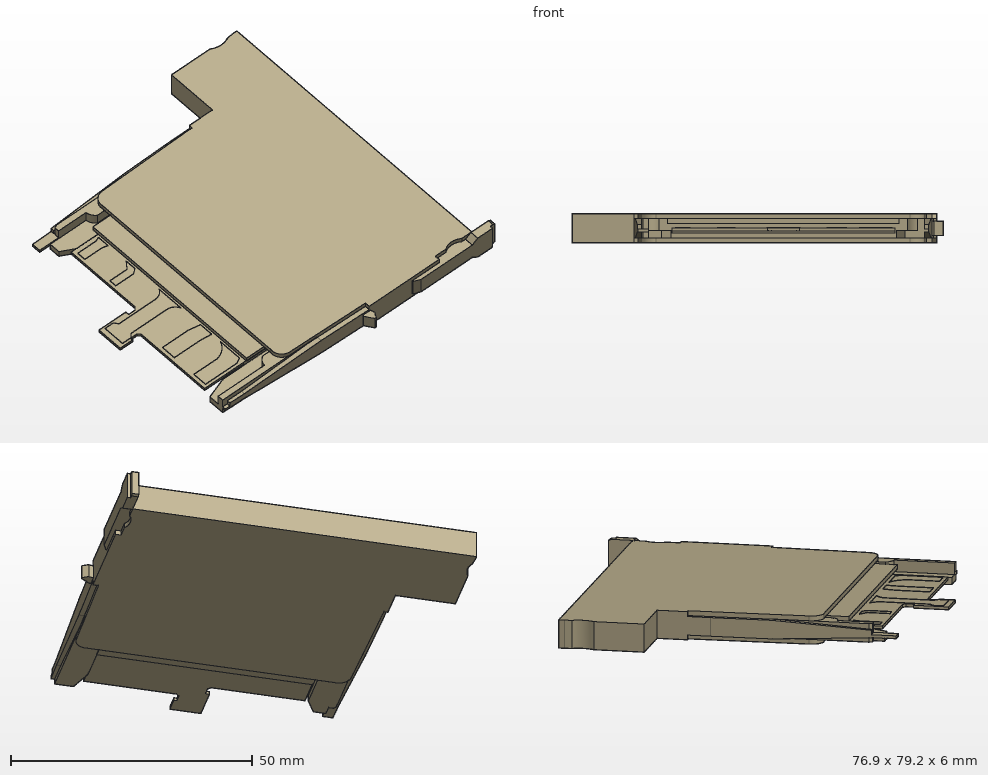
import cadquery as cq

thickness = 6.0
cover_thickness = 1.0
frame_bottom = cover_thickness
frame_top = thickness - cover_thickness
housing_rear = 74.0
cover_front = 21.45
ear_front = 55.9
ear_notch_depth = 0.7
left_side = 12.8
right_side = 74.6

strip_inner = 73.45
strip_seat_front = 63.95
thumb_recess_depth = 0.7

arm_front = 5.4
arm_lean = 0.8
lean_start = 44.6
left_ledge_rear = 49.5

left_cover_rear = 13.7
left_cover_edge = 14.3
right_cover_rear = strip_inner
right_cover_edge = 73.05
cover_corner_length = 3.0
cover_corner_depth = 2.5
cover_corner_bulge = 0.27

taper_rear = 31.5
taper_front = 10.6
taper_drop = 1.2
left_tip_rear = taper_front
right_tip_rear = 6.65
tip_bottom = frame_bottom + taper_drop
tip_top = 2.85

recess_rear = 23.75
throat_left = 18.0
throat_right = 69.5
throat_front = 19.55
recess_left = 15.8
recess_right = 71.6
recess_shoulder = 18.2
floor_top = 2.5
floor_left_edge = 20.5
floor_right_edge = 67.2
left_floor_front = 8.3
left_bevel = (2.0, 3.65)
right_bevel = (1.8, 5.2)
wall_end_bevel = (0.4, 0.7)

bar_left = 19.7
bar_right = 67.75
bar_front = 16.7
bar_bottom = 4.0

board_left = 20.65
board_right = 67.0
board_bottom = 2.45
board_top = 3.1
backing_bottom = 2.0
track_height = 0.1
board_left_front = 9.8
board_right_front = 5.8
tongue_left = 40.45
tongue_right = 47.1
tongue_left_rear = 7.45
tongue_right_rear = 3.5
neck_left = 41.3
neck_right = 46.5
neck_corner = 0.6

latch_outer = 75.6
latch_rear = 79.15
latch_step = 74.9
latch_step_rear = 77.9
latch_front = 56.4
latch_bevel_rear = 58.1
ramp_rear = 73.8
ramp_front = 72.3
latch_tip_chamfer = 0.55

hook_outer = 76.9
hook_bottom = 1.5
hook_top = 4.5


def prism(outline, bottom, top):
    """Extrude a closed XY outline between two heights."""
    return outline.close().extrude(top - bottom).translate((0, 0, bottom))


def polygon(points, bottom, top):
    return prism(cq.Workplane("XY").polyline(points), bottom, top)


def block(left, right, front, rear, bottom, top):
    size = (right - left, rear - front, top - bottom)
    return cq.Workplane("XY").box(*size, centered=False).translate((left, front, bottom))


def mirrored_pair(upper):
    """The solid together with its mirror image about the mid-thickness plane."""
    return upper.union(upper.mirror("XY", (0, 0, thickness / 2)))


def start_rear_outline():
    """Rear outline from the latch seat round the ear to its inner corner."""
    return (
        cq.Workplane("XY")
        .moveTo(right_side, strip_seat_front)
        .lineTo(strip_inner, strip_seat_front)
        .lineTo(strip_inner, 66.8)
        .threePointArc((strip_inner - thumb_recess_depth, 69.0), (strip_inner, 71.2))
        .lineTo(strip_inner, housing_rear)
        .lineTo(0, housing_rear)
        .lineTo(0, 72.8)
        .lineTo(0.15, 71.2)
        .threePointArc((ear_notch_depth, 69.0), (0, 66.6))
        .lineTo(0, ear_front)
        .lineTo(left_side, ear_front)
    )


def cover():
    corner_rear = cover_front + cover_corner_depth
    bulge_y = cover_front + cover_corner_bulge * cover_corner_depth
    bulge_x = cover_corner_bulge * cover_corner_length
    outline = (
        start_rear_outline()
        .lineTo(left_side, left_ledge_rear)
        .lineTo(left_cover_rear, left_ledge_rear)
        .lineTo(left_cover_edge, corner_rear)
        .threePointArc(
            (left_cover_edge + bulge_x, bulge_y),
            (left_cover_edge + cover_corner_length, cover_front),
        )
        .lineTo(right_cover_edge - cover_corner_length, cover_front)
        .threePointArc(
            (right_cover_edge - bulge_x, bulge_y),
            (right_cover_edge, corner_rear),
        )
        .lineTo(right_cover_rear, lean_start)
        .lineTo(right_side, lean_start)
    )
    return prism(outline, frame_top, thickness)


def arm_taper(left, right):
    """Material above the sloping top of an arm's outer strip."""
    taper_low = frame_top - taper_drop
    profile = [
        (taper_rear, frame_top),
        (taper_front, taper_low),
        (0, taper_low),
        (0, frame_top),
    ]
    wedge = cq.Workplane("YZ").polyline(profile).close().extrude(right - left)
    return wedge.translate((left, 0, 0))


def front_recess():
    outline = (
        cq.Workplane("XY")
        .moveTo(throat_left, recess_rear)
        .lineTo(throat_left, throat_front)
        .threePointArc((17.25, 18.75), (recess_left, recess_shoulder))
        .lineTo(recess_left, 0)
        .lineTo(recess_right, 0)
        .lineTo(recess_right, recess_shoulder)
        .threePointArc((70.2, 18.75), (throat_right, throat_front))
        .lineTo(throat_right, recess_rear)
    )
    return prism(outline, floor_top, frame_top)


def floor_opening():
    """Gap between the two arm floors, with their bevelled front corners."""
    left_bevel_x, left_bevel_y = left_bevel
    right_bevel_x, right_bevel_y = right_bevel
    points = [
        (floor_left_edge, recess_rear),
        (floor_left_edge, left_floor_front + left_bevel_y),
        (floor_left_edge - left_bevel_x, left_floor_front),
        (recess_left, left_floor_front),
        (recess_left, 0),
        (floor_right_edge + right_bevel_x, 0),
        (floor_right_edge + right_bevel_x, arm_front),
        (floor_right_edge, arm_front + right_bevel_y),
        (floor_right_edge, recess_rear),
    ]
    return polygon(points, frame_bottom, floor_top)


def frame():
    outline = (
        start_rear_outline()
        .lineTo(left_side, lean_start)
        .lineTo(left_side + arm_lean, arm_front)
        .lineTo(right_side - arm_lean, arm_front)
        .lineTo(right_side, lean_start)
    )
    body = prism(outline, frame_bottom, frame_top)

    body = body.cut(mirrored_pair(arm_taper(0, left_cover_edge)))
    body = body.cut(mirrored_pair(arm_taper(right_cover_edge, right_side)))
    body = body.cut(block(0, left_cover_edge, 0, left_tip_rear, tip_top, frame_top))
    body = body.cut(block(right_cover_edge, right_side, 0, right_tip_rear, tip_top, frame_top))

    bevel_x, bevel_y = wall_end_bevel
    wall_end = [
        (left_cover_edge, 0),
        (left_cover_edge, left_tip_rear + bevel_y),
        (left_cover_edge + bevel_x, left_tip_rear),
        (recess_left, left_tip_rear),
        (recess_left, 0),
    ]
    body = body.cut(polygon(wall_end, tip_top, frame_top))
    body = body.cut(polygon(wall_end, frame_bottom, tip_bottom))
    return body.cut(front_recess()).cut(floor_opening())


def board():
    points = [
        (board_left, recess_rear),
        (board_left, board_left_front),
        (neck_left - neck_corner, board_left_front),
        (neck_left, board_left_front - neck_corner),
        (neck_left, tongue_left_rear),
        (tongue_left, tongue_left_rear),
        (tongue_left, 0),
        (tongue_right, 0),
        (tongue_right, tongue_right_rear),
        (neck_right, tongue_right_rear),
        (neck_right, board_right_front - neck_corner),
        (neck_right + neck_corner, board_right_front),
        (board_right, board_right_front),
        (board_right, recess_rear),
    ]
    plate = polygon(points, board_bottom, board_top)
    backing = block(board_left, board_right, bar_front, recess_rear, backing_bottom, board_bottom)
    return plate.union(backing)


def tracks():
    """Raised conductor tracks, running forward from below the bar."""
    def start():
        return cq.Workplane("XY")

    short_front = 10.6
    long_front = 6.65
    outlines = [
        start().polyline([
            (21.45, bar_front), (21.85, 15.7), (21.85, short_front),
            (24.1, short_front), (24.1, 15.4), (24.45, bar_front),
        ]),
        start().polyline([
            (30.1, bar_front), (31.9, 15.35), (31.9, short_front),
            (33.7, short_front), (33.7, 15.5), (32.85, bar_front),
        ]),
        start().moveTo(40.4, bar_front)
        .threePointArc((41.5, 15.75), (41.95, 14.25))
        .lineTo(41.95, 4.2)
        .lineTo(41.0, 3.5)
        .lineTo(41.0, 1.2)
        .lineTo(neck_right, 1.2)
        .lineTo(neck_right, 3.5)
        .lineTo(45.6, 4.3)
        .lineTo(45.6, 14.25)
        .threePointArc((46.1, 15.75), (47.25, bar_front)),
        start().polyline([
            (53.35, bar_front), (52.8, 13.8), (52.8, long_front),
            (56.5, long_front), (56.5, 13.8), (56.8, bar_front),
        ]),
        start().moveTo(59.6, bar_front)
        .threePointArc((61.65, 15.2), (62.6, 13.1))
        .lineTo(62.6, long_front)
        .lineTo(66.25, long_front)
        .lineTo(66.25, 15.35)
        .lineTo(65.5, bar_front),
    ]
    return [prism(outline, board_top, board_top + track_height) for outline in outlines]


def latch_strip():
    points = [
        (strip_inner, latch_rear),
        (latch_step, latch_rear),
        (latch_step, latch_step_rear),
        (latch_outer, latch_step_rear),
        (latch_outer, latch_bevel_rear),
        (latch_step, latch_front),
        (right_side - 0.8, latch_front),
        (right_side - 0.8, strip_seat_front),
        (strip_inner - thumb_recess_depth, strip_seat_front),
        (strip_inner - thumb_recess_depth, ramp_front),
        (strip_inner, ramp_front),
    ]
    plan = polygon(points, 0, thickness)
    tip_rear = latch_rear - latch_tip_chamfer
    low_corner = latch_tip_chamfer / 2
    side = [
        (latch_front, frame_bottom),
        (ramp_front, frame_bottom),
        (ramp_rear, 0),
        (tip_rear, 0),
        (latch_rear, low_corner),
        (latch_rear, thickness - low_corner),
        (tip_rear, thickness),
        (ramp_rear, thickness),
        (ramp_front, frame_top),
        (latch_front, frame_top),
    ]
    return plan.intersect(cq.Workplane("YZ").polyline(side).close().extrude(hook_outer))


def snap_hook():
    points = [
        (right_side - 0.8, 44.7),
        (75.7, 45.2),
        (hook_outer, 44.5),
        (hook_outer, 44.1),
        (74.95, 42.75),
        (right_side - 0.8, 43.2),
    ]
    return polygon(points, hook_bottom, hook_top)


result = frame().union(mirrored_pair(cover()))
result = result.union(block(bar_left, bar_right, bar_front, recess_rear, bar_bottom, frame_top))
result = result.union(board())
for track in tracks():
    result = result.union(track)
result = result.union(latch_strip()).union(snap_hook())